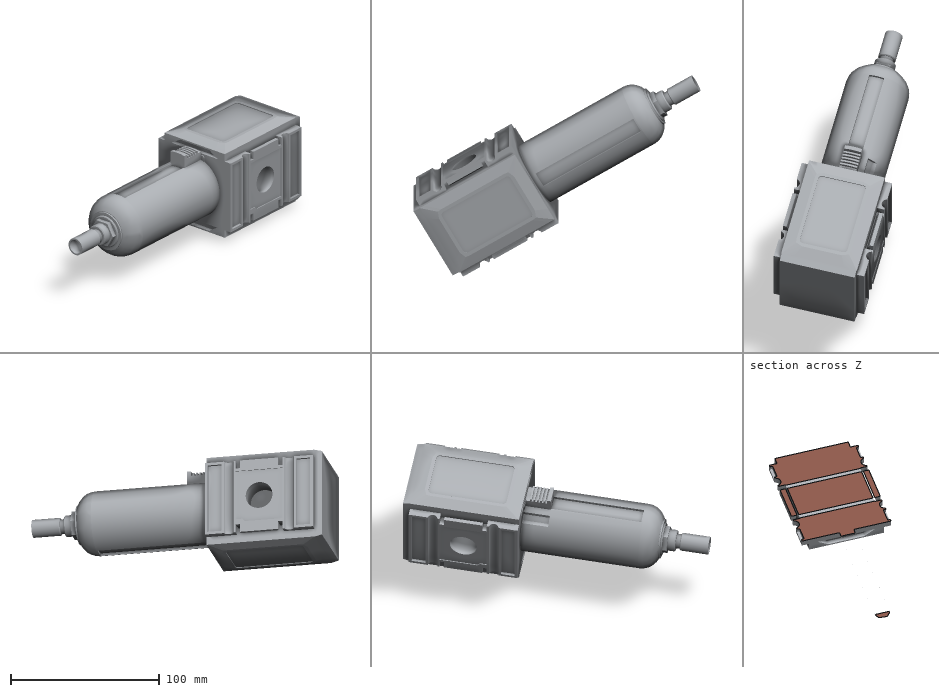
import cadquery as cq
import math


OVERALL_LENGTH = 205.5
CORE_HALF_X = 52.8 / 2
CORE_HALF_Z = 31.2
HOUSING_HALF_Y = 37.5
BACK_Y = 42.3
BACK_HALF_X = 26.0
BACK_EDGE_HALF_Z = 30.0
HOUSING_HALF_X = 63.0 / 2
PLATE_HALF_Z = 25.7

COVER_TOP_Z = 66.8 / 2
COVER_FRONT_Y = -37.0
COVER_BASE_CUTS = (8.6, 3.5)
COVER_TOP_HALF_X = 19.0
COVER_TOP_HALF_Y = 29.4
COVER_TOP_CUTS = (5.1, 4.7)
COVER_CORNER_INSETS = (0.5, 1.8)
LABEL_HALF_X = 33.0 / 2
LABEL_HALF_Y = 53.6 / 2
LABEL_RADIUS = 2.5
LABEL_DEPTH = 0.6

GROOVE_Y = 21.0
GROOVE_RADIUS = 3.3
GROOVE_DEPTH = 2.9
PANEL_IN_Y = 25.9
PANEL_OUT_Y = 35.3
PANEL_HALF_Z = 23.8
PANEL_DEPTH = 1.8
CLIP_HALF_Y = 13.2
NOTCH_OUT_Y = 16.2
NOTCH_IN_Z = 20.1
SLIT_OUT_Z = 21.4
SLIT_OUT_Y = 15.8
CLIP_TIP_X = 29.0
CLIP_ROOT_X = 27.0
PORT_PAD_HALF_Z = 36.4 / 2
PORT_PAD_DEPTH = 0.6
PAD_STEP_Y = 6.5
PAD_STEP_Z = 1.8
PORT_RADIUS = 9.2
PORT_DEPTH = 16.5

POCKET_INNER_HALF_X = 20.1
POCKET_OUTER_HALF_X = 12.7
POCKET_OUTER_Z = 30.2
POCKET_DEPTH = 3.0
PAD_HALF_X = 17.0 / 2
PAD_TOP_Z = 24.5
PAD_THICKNESS = 0.6
PAD_RADIUS = 1.5
PAD_FACE_Y = -HOUSING_HALF_Y - PAD_THICKNESS

BOWL_RADIUS = 22.0
DOME_START_Y = -118.4
DOME_END_Y = -130.3
DOME_END_RADIUS = 14.0
WINDOW_HALF_X = 10.5 / 2
WINDOW_START_Y = -40.9
WINDOW_END_Y = -117.3
RECESS_RADIUS = 20.1
MARK_WALL_X = -10.0
MARK_LEDGE_Z = 15.0

LATCH_HALF_X = 6.0
LATCH_END_Y = -55.5
LATCH_BASE_RADIUS = 27.7
LATCH_RIB_RADIUS = 29.5
LATCH_LIP_RADIUS = 30.8
LIP_START_Y = -52.8
RIB_START_Y = -41.0
RIB_COUNT = 5
RIB_PITCH = (RIB_START_Y - LIP_START_Y) / RIB_COUNT
RIB_WIDTH = RIB_PITCH / 2

WIDE_DISC_RADIUS = 13.5
WIDE_DISC_END_Y = -131.3
NARROW_DISC_RADIUS = 11.3
NARROW_DISC_END_Y = -132.3
NUT_ACROSS_CORNERS = 19.5
NUT_END_Y = -135.5
COLLAR_RADIUS = 14.5 / 2
COLLAR_END_Y = -140.8
NECK_RADIUS = 5.0
NECK_END_Y = -143.6
SPIGOT_RADIUS = 12.1 / 2
SPIGOT_END_Y = BACK_Y - OVERALL_LENGTH
DRAIN_CHAMFER = 0.6
BORE_MOUTH_RADIUS = 5.0
BORE_FLOOR_RADIUS = 3.0
BORE_DEPTH = 19.5


def block(x0, x1, y0, y1, z0, z1):
    """Box between two opposite corners."""
    return cq.Workplane("XY").box(x1 - x0, y1 - y0, z1 - z0, centered=False).translate((x0, y0, z0))


def rod(radius, y_start, y_end):
    """Cylinder on the bowl axis running from y_start towards -Y."""
    return cq.Workplane("XZ", origin=(0, y_start, 0)).circle(radius).extrude(y_start - y_end)


def with_copy(shape, plane):
    """A shape together with its mirror image."""
    return shape.union(shape.mirror(plane))


def in_corners(shape):
    """Four copies of a shape, mirrored in Y and in Z."""
    return with_copy(with_copy(shape, "XZ"), "XY")


def make_core():
    """Central block with a slightly narrower tapered slab at the back."""
    core = block(-CORE_HALF_X, CORE_HALF_X, -HOUSING_HALF_Y, HOUSING_HALF_Y, -CORE_HALF_Z, CORE_HALF_Z)
    slab_outline = [
        (HOUSING_HALF_Y, -CORE_HALF_Z),
        (BACK_Y, -BACK_EDGE_HALF_Z),
        (BACK_Y, BACK_EDGE_HALF_Z),
        (HOUSING_HALF_Y, CORE_HALF_Z),
    ]
    slab = cq.Workplane("YZ").polyline(slab_outline).close().extrude(BACK_HALF_X, both=True)
    return core.union(slab)


def cover_outline(half_x, half_y, cuts, corner_insets):
    """Rectangle with three points at each corner, listed counter-clockwise."""
    points = []
    for sign_x, sign_y in ((1, 1), (-1, 1), (-1, -1), (1, -1)):
        corner = [
            (sign_x * half_x, sign_y * (half_y - cuts[1])),
            (sign_x * (half_x - corner_insets[0]), sign_y * (half_y - corner_insets[1])),
            (sign_x * (half_x - cuts[0]), sign_y * half_y),
        ]
        points += corner if sign_x == sign_y else reversed(corner)
    return points


def make_cover():
    base_half_y = (HOUSING_HALF_Y - COVER_FRONT_Y) / 2
    centre_y = (HOUSING_HALF_Y + COVER_FRONT_Y) / 2
    base = cover_outline(CORE_HALF_X, base_half_y, COVER_BASE_CUTS, (0, 0))
    top = cover_outline(COVER_TOP_HALF_X, COVER_TOP_HALF_Y, COVER_TOP_CUTS, COVER_CORNER_INSETS)
    cover = (
        cq.Workplane("XY", origin=(0, centre_y, CORE_HALF_Z))
        .polyline(base).close()
        .workplane(offset=COVER_TOP_Z - CORE_HALF_Z)
        .polyline(top).close()
        .loft(ruled=True)
    )
    label = block(-LABEL_HALF_X, LABEL_HALF_X, -LABEL_HALF_Y, LABEL_HALF_Y, -LABEL_DEPTH, 0)
    label = label.edges("|Z").fillet(LABEL_RADIUS)
    return cover.cut(label.translate((0, centre_y, COVER_TOP_Z)))


def make_side_plate():
    """Plate on the -X side with its grooves, label panels, clip and port pad."""
    face_x = -HOUSING_HALF_X
    plate = block(face_x, -CORE_HALF_X, -HOUSING_HALF_Y, HOUSING_HALF_Y, -PLATE_HALF_Z, PLATE_HALF_Z)

    groove_x = face_x + GROOVE_DEPTH - GROOVE_RADIUS
    groove = cq.Workplane("XY").center(groove_x, GROOVE_Y).circle(GROOVE_RADIUS)
    groove = groove.extrude(PLATE_HALF_Z, both=True)
    panel = block(face_x, face_x + PANEL_DEPTH, PANEL_IN_Y, PANEL_OUT_Y, -PANEL_HALF_Z, PANEL_HALF_Z)
    plate = plate.cut(with_copy(groove, "XZ")).cut(with_copy(panel, "XZ"))

    notch = block(face_x, -CORE_HALF_X, CLIP_HALF_Y, NOTCH_OUT_Y, NOTCH_IN_Z, PLATE_HALF_Z)
    clip_gap = [
        (-CORE_HALF_X, PLATE_HALF_Z),
        (-CLIP_TIP_X, PLATE_HALF_Z),
        (-CLIP_ROOT_X, NOTCH_IN_Z),
        (-CORE_HALF_X, NOTCH_IN_Z),
    ]
    gap = cq.Workplane("XZ").polyline(clip_gap).close().extrude(CLIP_HALF_Y, both=True)
    plate = plate.cut(in_corners(notch)).cut(with_copy(gap, "XY"))

    pad_outline = [
        (NOTCH_OUT_Y, PORT_PAD_HALF_Z),
        (-NOTCH_OUT_Y, PORT_PAD_HALF_Z),
        (-NOTCH_OUT_Y, PAD_STEP_Z - PORT_PAD_HALF_Z),
        (PAD_STEP_Y - PAD_STEP_Z - NOTCH_OUT_Y, PAD_STEP_Z - PORT_PAD_HALF_Z),
        (PAD_STEP_Y - NOTCH_OUT_Y, -PORT_PAD_HALF_Z),
        (NOTCH_OUT_Y, -PORT_PAD_HALF_Z),
    ]
    pad = cq.Workplane("YZ", origin=(face_x, 0, 0)).polyline(pad_outline).close().extrude(PORT_PAD_DEPTH)
    return plate.cut(pad)


def make_port():
    return cq.Workplane("YZ", origin=(-HOUSING_HALF_X, 0, 0)).circle(PORT_RADIUS).extrude(PORT_DEPTH)


def make_front_pocket():
    outline = [
        (-POCKET_INNER_HALF_X, PLATE_HALF_Z),
        (POCKET_INNER_HALF_X, PLATE_HALF_Z),
        (POCKET_OUTER_HALF_X, POCKET_OUTER_Z),
        (-POCKET_OUTER_HALF_X, POCKET_OUTER_Z),
    ]
    front = cq.Workplane("XZ", origin=(0, -HOUSING_HALF_Y, 0))
    return front.polyline(outline).close().extrude(-POCKET_DEPTH)


def make_housing():
    slit = block(-HOUSING_HALF_X, HOUSING_HALF_X, CLIP_HALF_Y, SLIT_OUT_Y, NOTCH_IN_Z, SLIT_OUT_Z)
    front_pad = block(-PAD_HALF_X, PAD_HALF_X, PAD_FACE_Y, -HOUSING_HALF_Y, 0, PAD_TOP_Z)
    front_pad = front_pad.edges("|Y and >Z").fillet(PAD_RADIUS)
    return (
        make_core()
        .union(with_copy(make_cover(), "XY"))
        .union(with_copy(make_side_plate(), "YZ"))
        .cut(in_corners(slit))
        .cut(with_copy(make_port(), "YZ"))
        .cut(with_copy(make_front_pocket(), "XY"))
        .union(front_pad)
    )


def make_bowl():
    """Round bowl with a dome, a long window above and below, and an index mark."""
    dome_width = BOWL_RADIUS - DOME_END_RADIUS
    dome_length = DOME_START_Y - DOME_END_Y
    arc_radius = (dome_width ** 2 + dome_length ** 2) / (2 * dome_width)
    half_sweep = math.asin(dome_length / arc_radius) / 2
    arc_middle = (
        BOWL_RADIUS - arc_radius * (1 - math.cos(half_sweep)),
        DOME_START_Y - arc_radius * math.sin(half_sweep),
    )
    bowl = (
        cq.Workplane("XY")
        .moveTo(0, -HOUSING_HALF_Y)
        .lineTo(BOWL_RADIUS, -HOUSING_HALF_Y)
        .lineTo(BOWL_RADIUS, DOME_START_Y)
        .threePointArc(arc_middle, (DOME_END_RADIUS, DOME_END_Y))
        .lineTo(0, DOME_END_Y)
        .close()
        .revolve(360, (0, 0, 0), (0, 1, 0))
    )
    window = block(-WINDOW_HALF_X, WINDOW_HALF_X, WINDOW_END_Y, WINDOW_START_Y, -BOWL_RADIUS, BOWL_RADIUS)
    mark = block(-BOWL_RADIUS, MARK_WALL_X, LATCH_END_Y, -HOUSING_HALF_Y, MARK_LEDGE_Z, BOWL_RADIUS)
    recesses = window.union(mark).cut(rod(RECESS_RADIUS, -HOUSING_HALF_Y, DOME_END_Y))
    return bowl.cut(recesses)


def make_latch():
    """Thumb latch whose base, ribs and end lip have tops concentric with the bowl."""
    layers = rod(LATCH_BASE_RADIUS, PAD_FACE_Y, LATCH_END_Y)
    layers = layers.union(rod(LATCH_LIP_RADIUS, LIP_START_Y, LATCH_END_Y))
    for index in range(RIB_COUNT):
        rib_y = RIB_START_Y - index * RIB_PITCH
        layers = layers.union(rod(LATCH_RIB_RADIUS, rib_y, rib_y - RIB_WIDTH))
    column = block(-LATCH_HALF_X, LATCH_HALF_X, LATCH_END_Y, PAD_FACE_Y, 0, LATCH_LIP_RADIUS)
    return layers.intersect(column)


def make_drain():
    nut = cq.Workplane("XZ", origin=(0, NARROW_DISC_END_Y, 0)).polygon(6, NUT_ACROSS_CORNERS)
    nut = nut.extrude(NARROW_DISC_END_Y - NUT_END_Y)
    collar = rod(COLLAR_RADIUS, NUT_END_Y, COLLAR_END_Y).faces("<Y").chamfer(DRAIN_CHAMFER)
    spigot = rod(SPIGOT_RADIUS, NECK_END_Y, SPIGOT_END_Y).faces(">Y").chamfer(DRAIN_CHAMFER)
    bore = (
        cq.Workplane("XZ", origin=(0, SPIGOT_END_Y + BORE_DEPTH, 0))
        .circle(BORE_FLOOR_RADIUS)
        .workplane(offset=BORE_DEPTH)
        .circle(BORE_MOUTH_RADIUS)
        .loft()
    )
    narrow_disc = rod(NARROW_DISC_RADIUS, WIDE_DISC_END_Y, NARROW_DISC_END_Y)
    return (
        rod(WIDE_DISC_RADIUS, DOME_END_Y, WIDE_DISC_END_Y)
        .union(narrow_disc.faces("<Y").chamfer(DRAIN_CHAMFER))
        .union(nut)
        .union(collar)
        .union(rod(NECK_RADIUS, COLLAR_END_Y, NECK_END_Y))
        .union(spigot)
        .cut(bore)
    )


result = make_housing().union(make_bowl()).union(make_latch()).union(make_drain())